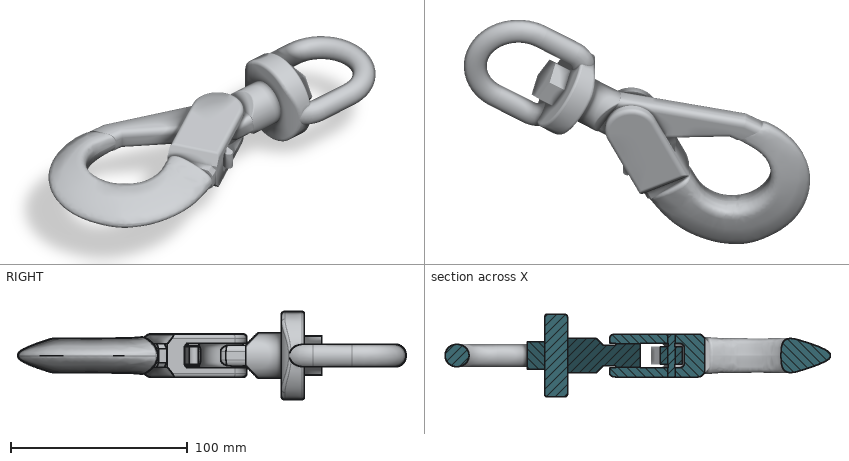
import cadquery as cq
import math


WIRE_DIA = 13.0
EYE_HALF_WIDTH = 30.8
EYE_ARC_Y = 74.0
EYE_CORNER_RADIUS = 18.0
FLANGE_DIA = 50.0
FLANGE_BOTTOM = 34.0
FLANGE_THICKNESS = 13.2
FLANGE_TOP = FLANGE_BOTTOM + FLANGE_THICKNESS
FLANGE_TOP_FILLET = 1.5
FLANGE_BOTTOM_FILLET = 2.0
EYE_CORNER_X = EYE_HALF_WIDTH - EYE_CORNER_RADIUS
EYE_CORNER_Y = FLANGE_BOTTOM + EYE_CORNER_RADIUS

NUT_ACROSS_CORNERS = 25.7
NUT_HEIGHT = 10.0
STUD_DIA = 13.2

NECK_RADIUS = 13.0
NECK_BOTTOM = 14.0
NECK_BEVEL_FILLET = 0.9
ARM_HALF_THICKNESS = 6.0
ARM_EDGE_FILLET = 3.5
TIP_OUTER = (-38.3, -64.6)
TIP_INNER = (-23.7, -56.5)
ARM_OUTER_KNEE = (-37.8, -54.0)
ARM_INNER_KNEE = (-23.5, -52.0)
ARM_INNER_TOP = (12.5, 2.9)
BOSS_DIA = 25.0

PIVOT = (-2.0, 0.0)
PIVOT_PIN_DIA = 11.0
FORK_HALF_WIDTH = 14.7
FORK_HALF_THICKNESS = 12.3
FORK_FILLET = 2.5
FORK_FLAT_LENGTH = 40.0
FORK_LENGTH = 45.3
ROOT_HALF_THICKNESS = 6.5
ROOT_INSET = 0.55
ROOT_CHAMFER = 2.6
ROOT_FILLET = 1.8
SLOT_HALF_WIDTH = 6.8
SLOT_NEAR_LENGTH = 27.0
SLOT_FAR_LENGTH = 35.0
SLOT_OVERCUT = 1.4
SLOT_FILLET = 2.6

BOW_INNER_CENTER = (-2.2, -67.5)
BOW_INNER_RADIUS = 21.5
BOW_OUTER_CENTER = (3.5, -71.2)
BOW_OUTER_RADIUS = 43.8
BACK_RADIUS = 68.2
BACK_CENTER = (BOW_OUTER_CENTER[0] + BOW_OUTER_RADIUS - BACK_RADIUS, BOW_OUTER_CENTER[1])
ROOT_INNER_LENGTH = 45.5
ROOT_OUTER_LENGTH = 51.0
SHOULDER_SHARE = 0.2
FLANK_SHARE = 0.6
TIP_HEIGHTS = (6.5, 7.3, 4.5, 7.7)
HEEL_HEIGHTS = (15.8, 10.3, 6.0, 4.6)
ROOT_HEIGHTS = (12.0, 15.5, 6.5, 11.0)
BOW_STATIONS = [
    (-172, (8.8, 9.2, 5.7, 7.3)),
    (-145, (12.0, 9.5, 6.0, 5.7)),
    (-115, (14.5, 10.1, 6.0, 5.0)),
    (-85, HEEL_HEIGHTS),
    (-55, HEEL_HEIGHTS),
    (-25, HEEL_HEIGHTS),
    (0, HEEL_HEIGHTS),
    (18, (15.5, 11.0, 6.2, 5.7)),
    (32, (14.5, 11.9, 6.2, 7.0)),
]

TRIGGER_PIN_DIA = 4.0
TRIGGER_PIN_ALONG = 26.2
TRIGGER_PIN_ACROSS = -4.6
TRIGGER_HUB_RADIUS = 6.4
TRIGGER_HALF_THICKNESS = 5.0
TRIGGER_CLEARANCE = 0.9
FINGER_RADIUS = 2.5
FINGER_END = (27.0, -15.5)
FINGER_START_X = 17.5

FORK_LEAN = math.asin((FORK_HALF_WIDTH + BOW_INNER_RADIUS) / (PIVOT[1] - BOW_INNER_CENTER[1]))


def fork_point(along, across):
    """XY point at a distance along the fork from the pivot and across it, positive outwards."""
    x = PIVOT[0] + along * math.sin(FORK_LEAN) + across * math.cos(FORK_LEAN)
    y = PIVOT[1] - along * math.cos(FORK_LEAN) + across * math.sin(FORK_LEAN)
    return (x, y)


FORK_ALONG = cq.Vector(math.sin(FORK_LEAN), -math.cos(FORK_LEAN), 0)
TRIGGER_PIN = fork_point(TRIGGER_PIN_ALONG, TRIGGER_PIN_ACROSS)


def plate(outline, half_thickness):
    """Closed XY outline extruded equally to both sides of the mid-plane."""
    return outline.extrude(half_thickness, both=True)


def cylinder_z(center, diameter, half_length):
    return plate(cq.Workplane("XY").center(*center).circle(diameter / 2), half_length)


def cylinder_y(diameter, bottom, top):
    circle = cq.Workplane("XZ").workplane(offset=-bottom).circle(diameter / 2)
    return circle.extrude(bottom - top)


def eye_outline(inset):
    """Closed outline of the eye, inset from its outer edge."""
    side = EYE_HALF_WIDTH - inset
    low = FLANGE_BOTTOM + inset
    corner = EYE_CORNER_RADIUS - inset
    diagonal = corner * math.sqrt(0.5)
    return (
        cq.Workplane("XY")
        .moveTo(side, EYE_CORNER_Y)
        .lineTo(side, EYE_ARC_Y)
        .threePointArc((0, EYE_ARC_Y + side), (-side, EYE_ARC_Y))
        .lineTo(-side, EYE_CORNER_Y)
        .threePointArc((-EYE_CORNER_X - diagonal, EYE_CORNER_Y - diagonal), (-EYE_CORNER_X, low))
        .lineTo(EYE_CORNER_X, low)
        .threePointArc((EYE_CORNER_X + diagonal, EYE_CORNER_Y - diagonal), (side, EYE_CORNER_Y))
        .close()
    )


def make_eye():
    wire_radius = WIRE_DIA / 2
    section = cq.Workplane("XZ", origin=(EYE_HALF_WIDTH - wire_radius, EYE_CORNER_Y, 0)).circle(wire_radius)
    ring = section.sweep(eye_outline(wire_radius))
    flange = cylinder_y(FLANGE_DIA, FLANGE_BOTTOM, FLANGE_TOP)
    flange = flange.intersect(plate(eye_outline(0), FLANGE_DIA))
    flange = flange.edges("not (|Y or |Z or >Y)").fillet(FLANGE_BOTTOM_FILLET)
    flange = flange.faces(">Y").edges().fillet(FLANGE_TOP_FILLET)
    return ring.union(flange).cut(cylinder_y(STUD_DIA, FLANGE_BOTTOM, FLANGE_TOP))


def make_nut():
    hexagon = cq.Workplane("XZ").workplane(offset=-FLANGE_TOP).polygon(6, NUT_ACROSS_CORNERS)
    return hexagon.extrude(-NUT_HEIGHT).cut(cylinder_y(STUD_DIA, FLANGE_TOP, FLANGE_TOP + NUT_HEIGHT))


def make_neck():
    """Round neck whose lower end is bevelled at 45 degrees down to the arm thickness."""
    bevel = NECK_RADIUS - ARM_HALF_THICKNESS
    side = (
        cq.Workplane("YZ")
        .moveTo(NECK_BOTTOM, ARM_HALF_THICKNESS)
        .lineTo(NECK_BOTTOM + bevel, NECK_RADIUS)
        .lineTo(FLANGE_BOTTOM, NECK_RADIUS)
        .lineTo(FLANGE_BOTTOM, -NECK_RADIUS)
        .lineTo(NECK_BOTTOM + bevel, -NECK_RADIUS)
        .lineTo(NECK_BOTTOM, -ARM_HALF_THICKNESS)
        .close()
        .extrude(NECK_RADIUS, both=True)
    )
    neck = cylinder_y(2 * NECK_RADIUS, NECK_BOTTOM, FLANGE_BOTTOM).intersect(side)
    return neck.edges("%ELLIPSE").fillet(NECK_BEVEL_FILLET)


def make_arm():
    """Flat load arm with rounded long edges, from the neck to the tip of the hook."""
    outline = [
        (-NECK_RADIUS, NECK_BOTTOM),
        ARM_OUTER_KNEE,
        TIP_OUTER,
        TIP_INNER,
        ARM_INNER_KNEE,
        ARM_INNER_TOP,
        (ARM_INNER_TOP[0], NECK_BOTTOM),
    ]
    arm = plate(cq.Workplane("XY").polyline(outline).close(), ARM_HALF_THICKNESS)
    tip_line = cq.selectors.ParallelDirSelector(cq.Vector(*TIP_OUTER) - cq.Vector(*TIP_INNER))
    long_edges = cq.selectors.StringSyntaxSelector("not |X") - tip_line
    return arm.faces(">Z or <Z").edges(long_edges).fillet(ARM_EDGE_FILLET)


def make_shank():
    stud = cylinder_y(STUD_DIA, FLANGE_BOTTOM, FLANGE_TOP + NUT_HEIGHT)
    boss = cylinder_z(PIVOT, BOSS_DIA, SLOT_HALF_WIDTH)
    shank = make_neck().union(make_arm()).union(boss).union(stud)
    return shank.cut(cylinder_z(PIVOT, PIVOT_PIN_DIA, FORK_HALF_THICKNESS))


def ray_to_circle(angle, center, radius):
    """Point where a ray from the bow opening's centre leaves a circle around it."""
    dx, dy = math.cos(angle), math.sin(angle)
    ox, oy = BOW_INNER_CENTER[0] - center[0], BOW_INNER_CENTER[1] - center[1]
    along = ox * dx + oy * dy
    reach = -along + math.sqrt(along**2 + radius**2 - ox**2 - oy**2)
    return (BOW_INNER_CENTER[0] + reach * dx, BOW_INNER_CENTER[1] + reach * dy)


def bow_half_section(inner, outer, heights):
    """Upper half of a teardrop section between an inner and an outer XY point.

    The curve leaves both ends upright; the heights belong to its four inner control points.
    """
    width = math.dist(inner, outer)
    direction = ((outer[0] - inner[0]) / width, (outer[1] - inner[1]) / width, 0)
    normal = (direction[1], -direction[0], 0)
    section = cq.Workplane(cq.Plane(origin=(*inner, 0), xDir=direction, normal=normal))
    control_x = (0, SHOULDER_SHARE * width, FLANK_SHARE * width, width)
    curve = [(0, 0), *zip(control_x, heights), (width, 0)]
    return section.bezier(curve).close().wires().val()


def bow_points(degrees):
    """Inner and outer XY point of the bow at an angle round its opening."""
    angle = math.radians(degrees)
    inner = ray_to_circle(angle, BOW_INNER_CENTER, BOW_INNER_RADIUS)
    if degrees < 0:
        return inner, ray_to_circle(angle, BOW_OUTER_CENTER, BOW_OUTER_RADIUS)
    return inner, ray_to_circle(angle, BACK_CENTER, BACK_RADIUS)


def make_bow():
    """Curved bow lofted from the tip round to the root of the fork, in two mirrored halves."""
    sections = [bow_half_section(TIP_INNER, TIP_OUTER, TIP_HEIGHTS)]
    for degrees, heights in BOW_STATIONS:
        sections.append(bow_half_section(*bow_points(degrees), heights))
    root_inner = fork_point(ROOT_INNER_LENGTH, -FORK_HALF_WIDTH)
    root_outer = fork_point(ROOT_OUTER_LENGTH, FORK_HALF_WIDTH)
    sections.append(bow_half_section(root_inner, root_outer, ROOT_HEIGHTS))
    half = cq.Workplane(cq.Solid.makeLoft(sections))
    above_root = (*fork_point(FORK_LENGTH, 0), FORK_HALF_THICKNESS)
    root_face = half.faces(cq.selectors.NearestToPointSelector((*fork_point(FORK_LENGTH, 0), 0)))
    half = root_face.edges(cq.selectors.NearestToPointSelector(above_root)).fillet(ROOT_FILLET)
    return half.union(half.mirror("XY"))


def fork_block(outline, side_profile):
    """Solid with the given XY outline and the given profile of (length along the fork, height)."""
    side_plane = cq.Plane(origin=(*PIVOT, 0), xDir=FORK_ALONG, normal=FORK_ALONG.cross(cq.Vector(0, 0, 1)))
    side = cq.Workplane(side_plane).polyline(side_profile).close().extrude(2 * FORK_HALF_WIDTH, both=True)
    return plate(outline, FORK_HALF_THICKNESS).intersect(side)


def make_fork():
    """Round-headed block whose two faces ramp down at the lower end."""
    head_back = -FORK_HALF_WIDTH
    straight = [
        fork_point(0, FORK_HALF_WIDTH),
        fork_point(FORK_LENGTH, FORK_HALF_WIDTH),
        fork_point(FORK_LENGTH, -FORK_HALF_WIDTH),
        fork_point(0, -FORK_HALF_WIDTH),
    ]
    sides = cq.Workplane("XY").polyline(straight)
    outline = sides.threePointArc(fork_point(head_back, 0), straight[0]).close()
    upper_side = [
        (head_back, FORK_HALF_THICKNESS),
        (FORK_FLAT_LENGTH, FORK_HALF_THICKNESS),
        (FORK_LENGTH, ROOT_HALF_THICKNESS),
    ]
    lower_side = [(length, -height) for length, height in reversed(upper_side)]
    fork = fork_block(outline, upper_side + lower_side)
    return fork.faces(">Z or <Z").edges().fillet(FORK_FILLET)


def make_root():
    """Chamfered wedge that joins the fork to the slanted end face of the bow."""
    half_width = FORK_HALF_WIDTH - ROOT_INSET
    slant = (ROOT_OUTER_LENGTH - ROOT_INNER_LENGTH) * ROOT_INSET / (2 * FORK_HALF_WIDTH)
    corners = [
        fork_point(FORK_FLAT_LENGTH, half_width),
        fork_point(ROOT_OUTER_LENGTH - slant, half_width),
        fork_point(ROOT_INNER_LENGTH + slant, -half_width),
        fork_point(FORK_FLAT_LENGTH, -half_width),
    ]
    root = plate(cq.Workplane("XY").polyline(corners).close(), ROOT_HALF_THICKNESS)
    return root.faces(">Z or <Z").edges(cq.selectors.ParallelDirSelector(FORK_ALONG)).chamfer(ROOT_CHAMFER)


def make_slot():
    """Slot between the fork plates, rounded about the trigger pin at its closed end."""
    open_end = -2 * FORK_HALF_WIDTH
    corners = [
        fork_point(open_end, -2 * FORK_HALF_WIDTH),
        fork_point(open_end, 2 * FORK_HALF_WIDTH),
        fork_point(SLOT_FAR_LENGTH, SLOT_OVERCUT * FORK_HALF_WIDTH),
        fork_point(SLOT_NEAR_LENGTH, -SLOT_OVERCUT * FORK_HALF_WIDTH),
    ]
    slot = plate(cq.Workplane("XY").polyline(corners).close(), SLOT_HALF_WIDTH)
    hub_room = cylinder_z(TRIGGER_PIN, 2 * (TRIGGER_HUB_RADIUS + TRIGGER_CLEARANCE), SLOT_HALF_WIDTH)
    return slot.union(hub_room).faces(">Z or <Z").edges().fillet(SLOT_FILLET)


def make_hook():
    hook = make_fork().union(make_root()).union(make_bow()).cut(make_slot())
    hook = hook.cut(cylinder_z(PIVOT, PIVOT_PIN_DIA, FORK_HALF_THICKNESS))
    return hook.cut(cylinder_z(TRIGGER_PIN, TRIGGER_PIN_DIA, FORK_HALF_THICKNESS))


def make_trigger():
    """Hub on the trigger pin with an arm that ends in a round finger."""
    hub = cylinder_z(TRIGGER_PIN, 2 * TRIGGER_HUB_RADIUS, TRIGGER_HALF_THICKNESS)
    finger_tip = cylinder_z(FINGER_END, 2 * FINGER_RADIUS, TRIGGER_HALF_THICKNESS)
    finger_top = FINGER_END[1] + FINGER_RADIUS
    finger_bottom = FINGER_END[1] - FINGER_RADIUS
    lever_outline = [
        (TRIGGER_PIN[0], TRIGGER_PIN[1] + TRIGGER_HUB_RADIUS),
        (FINGER_START_X, finger_top),
        (FINGER_END[0], finger_top),
        (FINGER_END[0], finger_bottom),
        (FINGER_START_X, finger_bottom),
        TRIGGER_PIN,
    ]
    lever = plate(cq.Workplane("XY").polyline(lever_outline).close(), TRIGGER_HALF_THICKNESS)
    trigger = hub.union(lever).union(finger_tip)
    return trigger.cut(cylinder_z(TRIGGER_PIN, TRIGGER_PIN_DIA, TRIGGER_HALF_THICKNESS))


eye = make_eye()
nut = make_nut()
shank = make_shank()
hook = make_hook()
trigger = make_trigger()
pivot_pin = cylinder_z(PIVOT, PIVOT_PIN_DIA, FORK_HALF_THICKNESS)
trigger_pin = cylinder_z(TRIGGER_PIN, TRIGGER_PIN_DIA, FORK_HALF_THICKNESS)

bodies = [eye, nut, shank, hook, trigger, pivot_pin, trigger_pin]
result = cq.Compound.makeCompound([body.val() for body in bodies])